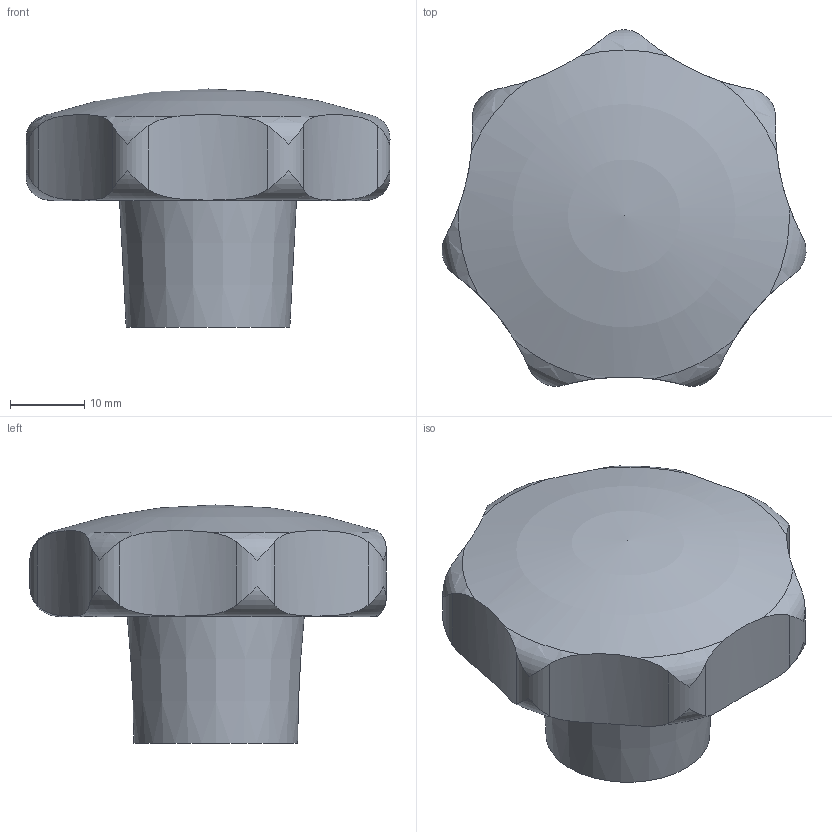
import cadquery as cq
import math

total_height = 32.0
stem_height = 17.0
stem_end_radius = 11.0
stem_taper = 3.0

lobe_count = 7
head_radius = 25.0
dome_radius = 70.0
rim_fillet = 4.0
lobe_tip_radius = 4.0
scallop_radius = 30.0

lobe_pitch = 360.0 / lobe_count
first_lobe_angle = 90.0


def polar(radius, angle):
    """Point in the XY plane at a radius and an angle in degrees."""
    return (radius * math.cos(math.radians(angle)), radius * math.sin(math.radians(angle)))


def make_stem():
    """Solid cone frustum below the head."""
    stem_root_radius = stem_end_radius + stem_height * math.tan(math.radians(stem_taper))
    return (
        cq.Workplane("XZ")
        .polyline([(0, 0), (stem_end_radius, 0), (stem_root_radius, stem_height), (0, stem_height)])
        .close()
        .revolve(360, (0, 0), (0, 1))
    )


def make_domed_disc():
    """Round head blank: flat underside, rounded rim, and a domed top tangent to the rim."""
    fillet_center_radius = head_radius - rim_fillet
    dome_center_z = total_height - dome_radius
    lower_center_z = stem_height + rim_fillet
    center_distance = dome_radius - rim_fillet
    upper_center_z = dome_center_z + math.sqrt(center_distance**2 - fillet_center_radius**2)

    dome_angle = math.asin(fillet_center_radius / center_distance)

    def dome_point(angle):
        return (dome_radius * math.sin(angle), dome_center_z + dome_radius * math.cos(angle))

    def rim_point(center_z, angle):
        radius, height = polar(rim_fillet, angle)
        return (fillet_center_radius + radius, center_z + height)

    upper_mid_angle = (90.0 - math.degrees(dome_angle)) / 2
    lower_mid_angle = -45.0
    return (
        cq.Workplane("XZ")
        .moveTo(0, stem_height)
        .lineTo(fillet_center_radius, stem_height)
        .threePointArc(rim_point(lower_center_z, lower_mid_angle), (head_radius, lower_center_z))
        .lineTo(head_radius, upper_center_z)
        .threePointArc(rim_point(upper_center_z, upper_mid_angle), dome_point(dome_angle))
        .threePointArc(dome_point(dome_angle / 2), (0, total_height))
        .close()
        .revolve(360, (0, 0), (0, 1))
    )


def make_star_prism():
    """Prism with rounded lobes joined by tangent concave scallops."""
    half_pitch = lobe_pitch / 2
    tip_center_radius = head_radius - lobe_tip_radius
    tip_center_x, tip_center_y = polar(tip_center_radius, half_pitch)
    center_distance = scallop_radius + lobe_tip_radius
    scallop_center_radius = tip_center_x + math.sqrt(center_distance**2 - tip_center_y**2)
    valley_radius = scallop_center_radius - scallop_radius

    tip_share = lobe_tip_radius / center_distance
    tangent_x = tip_center_x + (scallop_center_radius - tip_center_x) * tip_share
    tangent_y = tip_center_y * (1 - tip_share)
    tangent_radius = math.hypot(tangent_x, tangent_y)
    tangent_angle = math.degrees(math.atan2(tangent_y, tangent_x))
    tip_half_angle = half_pitch - tangent_angle

    outline = cq.Workplane("XY").workplane(offset=stem_height)
    outline = outline.moveTo(*polar(tangent_radius, first_lobe_angle - tip_half_angle))
    for index in range(lobe_count):
        lobe_angle = first_lobe_angle + index * lobe_pitch
        valley_angle = lobe_angle + half_pitch
        outline = outline.threePointArc(
            polar(head_radius, lobe_angle),
            polar(tangent_radius, lobe_angle + tip_half_angle),
        )
        outline = outline.threePointArc(
            polar(valley_radius, valley_angle),
            polar(tangent_radius, valley_angle + tangent_angle),
        )
    return outline.close().extrude(total_height - stem_height)


head = make_domed_disc().intersect(make_star_prism())
result = head.union(make_stem())